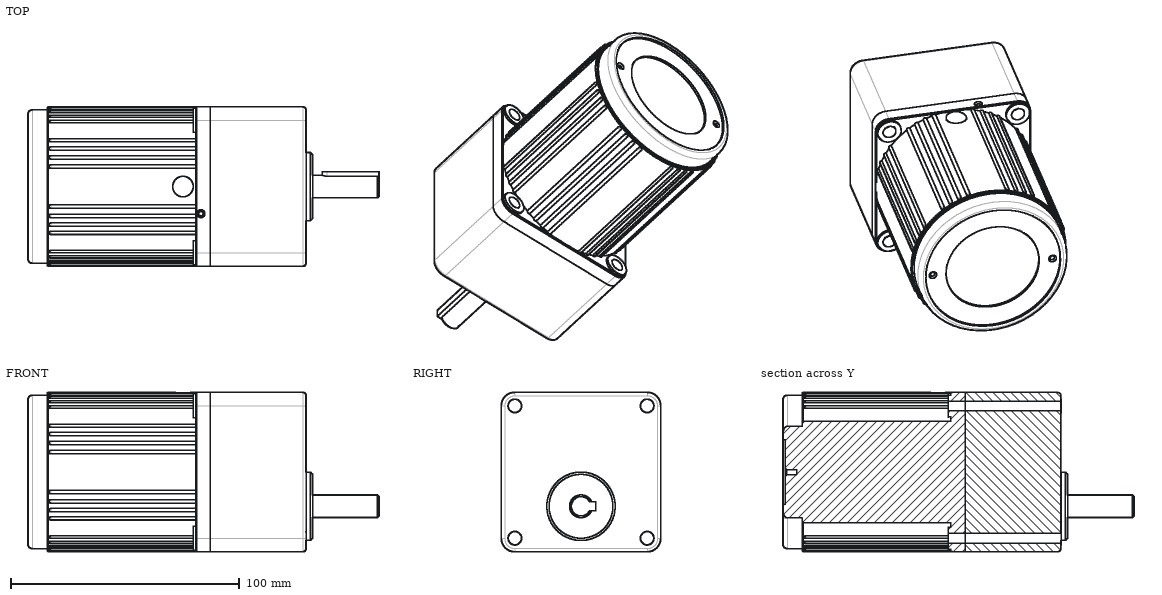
import cadquery as cq

frame = 70.0
corner_radius = 6.0
motor_length = 80.0
gearhead_length = 42.0
overall_length = 154.0

cap_length = 8.4
cap_radius = 33.7
cap_fillet = 2.0
cap_rim_radius = 30.4
cap_rim_depth = 1.0
cap_disc_radius = 21.0
cap_disc_depth = 2.0
cap_hole_offset = 27.0

barrel_radius = frame / 2
barrel_chamfer = 0.5
rib_radius = 0.9
rib_height = 0.55
rib_start = cap_length + 0.8
rib_pitch = 7.0
ribs_per_group = 4
group_tilt = 20.0

flange_thickness = 6.5
flange_chamfer = 0.5
flange_face = motor_length - flange_thickness
pad_radius = 5.3
pad_height = 1.0
mount_offset = frame / 2 - corner_radius
mount_hole_diameter = 5.8

cable_hole_diameter = 9.0
cable_hole_x = 68.0
cable_hole_depth = 10.0

screw_hole_diameter = 2.0
screw_mouth_diameter = 3.4
screw_hole_depth = 5.0
earth_hole_x = 75.9
earth_hole_y = -11.9

gearhead_fillet = 1.5
gearhead_end = motor_length + gearhead_length
shaft_drop = 15.0
boss_radius = 15.0
boss_length = 2.8
boss_chamfer = 1.0
shaft_radius = 5.0
shaft_chamfer = 0.75
key_width = 4.0
key_length = 25.0
key_top = 6.5
key_bottom = 2.5


def x_cylinder(radius, start, end, z=0.0):
    """Cylinder along X between two X positions."""
    plane = cq.Plane(origin=(start, 0, z), xDir=(0, 0, 1), normal=(1, 0, 0))
    return cq.Workplane(plane).circle(radius).extrude(end - start)


def square_block(start, end):
    """Square housing block along X with rounded long edges."""
    block = cq.Workplane("YZ", origin=(start, 0, 0)).rect(frame, frame).extrude(end - start)
    return block.edges("|X").fillet(corner_radius)


def mount_points():
    return [(y, z) for y in (-mount_offset, mount_offset) for z in (-mount_offset, mount_offset)]


def mount_holes():
    """Four corner holes that run through the flange and the gearhead."""
    start = flange_face - pad_height
    plane = cq.Workplane("YZ", origin=(start, 0, 0)).pushPoints(mount_points())
    return plane.circle(mount_hole_diameter / 2).extrude(gearhead_end - start)


def screw_hole(origin, direction):
    """Cutter for a small blind hole with a 45 degree countersunk mouth."""
    mouth = screw_mouth_diameter / 2
    bore = screw_hole_diameter / 2
    hole = cq.Solid.makeCylinder(bore, screw_hole_depth, cq.Vector(*origin), cq.Vector(*direction))
    sink = cq.Solid.makeCone(mouth, bore, mouth - bore, cq.Vector(*origin), cq.Vector(*direction))
    return hole.fuse(sink)


def rib_angles():
    """Angles about X of all ribs: a pair of groups straddles each diagonal."""
    middle = (ribs_per_group - 1) / 2
    offsets = [(index - middle) * rib_pitch for index in range(ribs_per_group)]
    diagonals = (45, 135, 225, 315)
    group_centers = [diagonal + side * group_tilt for diagonal in diagonals for side in (-1, 1)]
    return [center + offset for center in group_centers for offset in offsets]


def add_ribs(barrel):
    """Fuse lengthwise cooling ribs with ball ends onto the barrel, in eight groups."""
    rib_axis = barrel_radius + rib_height - rib_radius
    ball_center = rib_start + rib_radius
    rib = x_cylinder(rib_radius, ball_center, flange_face, z=rib_axis)
    rib = rib.union(cq.Workplane("XY").sphere(rib_radius).translate((ball_center, 0, rib_axis)))
    ribs = [rib.rotate((0, 0, 0), (1, 0, 0), angle).val() for angle in rib_angles()]
    return cq.Workplane(barrel.val().fuse(*ribs))


def make_motor():
    cap = x_cylinder(cap_radius, 0, cap_length).faces("<X").edges().fillet(cap_fillet)
    cap = cap.cut(x_cylinder(cap_rim_radius, 0, cap_rim_depth))
    cap = cap.cut(x_cylinder(cap_disc_radius, 0, cap_disc_depth))

    barrel = x_cylinder(barrel_radius, cap_length, flange_face)
    barrel = barrel.faces("<X").chamfer(barrel_chamfer)
    barrel = add_ribs(barrel)

    flange = square_block(flange_face, motor_length).faces("<X").chamfer(flange_chamfer)
    pads = cq.Workplane("YZ", origin=(flange_face - pad_height, 0, 0)).pushPoints(mount_points())
    pads = pads.circle(pad_radius).extrude(pad_height)

    motor = flange.union(pads).union(barrel).union(cap)
    motor = motor.cut(mount_holes())

    cable_hole = cq.Workplane("XY", origin=(cable_hole_x, 0, barrel_radius))
    motor = motor.cut(cable_hole.circle(cable_hole_diameter / 2).extrude(-cable_hole_depth))
    motor = motor.cut(cq.Workplane(screw_hole((earth_hole_x, earth_hole_y, frame / 2), (0, 0, -1))))
    for y in (-cap_hole_offset, cap_hole_offset):
        motor = motor.cut(cq.Workplane(screw_hole((cap_rim_depth, y, 0), (1, 0, 0))))
    return motor


def make_key():
    """Parallel key with a rounded inner end, on the +Y side of the shaft."""
    start = overall_length - key_length
    half = key_width / 2
    profile = (
        cq.Workplane("XZ", origin=(0, key_bottom, -shaft_drop))
        .moveTo(overall_length, half)
        .lineTo(start + half, half)
        .threePointArc((start, 0), (start + half, -half))
        .lineTo(overall_length, -half)
        .close()
    )
    return profile.extrude(key_bottom - key_top)


def make_gearhead():
    box = square_block(motor_length, gearhead_end).faces(">X").edges().fillet(gearhead_fillet)
    boss_end = gearhead_end + boss_length
    boss = x_cylinder(boss_radius, gearhead_end, boss_end, z=-shaft_drop)
    boss = boss.faces(">X").chamfer(boss_chamfer)
    shaft = x_cylinder(shaft_radius, boss_end, overall_length, z=-shaft_drop)
    shaft = shaft.faces(">X").chamfer(shaft_chamfer)
    gearhead = box.cut(mount_holes())
    return gearhead.union(boss).union(shaft).union(make_key())


motor = make_motor()
gearhead = make_gearhead()

result = cq.Compound.makeCompound([motor.val(), gearhead.val()])